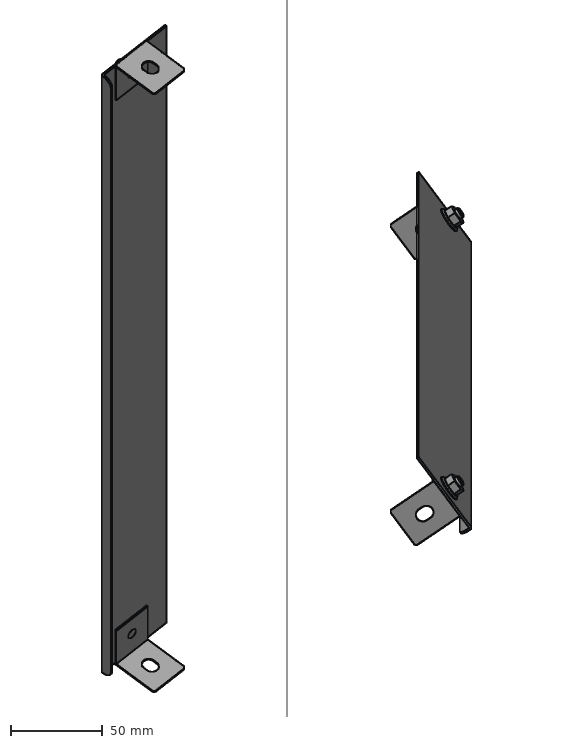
import cadquery as cq
import math

total_height = 502.0
total_depth = 39.0

panel_width = 50.0
panel_thickness = 1.2
flange_depth = 7.5
flange_corner_radius = 5.5
bend_radius = 0.9

bracket_width = 24.5
bracket_thickness = 1.0
bracket_leg = 28.5
tab_corner_radius = 1.5
slot_length = 10.0
slot_width = 7.5
slot_x = 16.0

fastener_y = -3.0
fastener_inset = 16.0
stud_diameter = 6.0
stud_tip_diameter = 5.0
stud_protrusion = 2.25
nut_height = 6.0
nut_across_flats = 10.0
nut_flange_diameter = 14.5
nut_flange_face_diameter = 12.5
nut_flange_height = 1.5
nut_bevel_height = 1.0

stud_reach = nut_height + stud_protrusion
tab_end = total_depth - stud_reach
bracket_back = panel_thickness + bracket_thickness
nut_bevel_width = (nut_flange_diameter - nut_flange_face_diameter) / 2
nut_across_corners = nut_across_flats / math.cos(math.pi / 6)
middle_height = total_height / 2
fastener_heights = (fastener_inset, total_height - fastener_inset)


def mirrored_to_top(body):
    """The same body at the upper end of the part."""
    return body.mirror("XY", (0, 0, middle_height))


def along_x(x, z):
    """A plane across the fastener axis at X = x, facing +X."""
    return cq.Workplane("YZ", origin=(x, fastener_y, z))


def make_panel():
    height = total_height - 2 * bracket_thickness
    sheet = cq.Workplane("XY").box(panel_thickness, panel_width, height, centered=(False, True, False))
    flange = (
        cq.Workplane("XY")
        .box(flange_depth, panel_thickness, height, centered=(False, False, False))
        .edges(">X and |Y")
        .fillet(flange_corner_radius)
        .translate((0, -panel_width / 2, 0))
    )
    panel = sheet.union(flange).edges("<X and <Y").fillet(bend_radius)
    panel = panel.translate((0, 0, bracket_thickness))
    for z in fastener_heights:
        panel = panel.cut(along_x(0, z).circle(stud_diameter / 2).extrude(panel_thickness))
    return panel


def make_lower_bracket():
    tab_length = tab_end - panel_thickness
    leg = cq.Workplane("XY").box(
        bracket_thickness, bracket_width, bracket_leg, centered=(False, True, False)
    )
    tab = cq.Workplane("XY").box(
        tab_length, bracket_width, bracket_thickness, centered=(False, True, False)
    )
    tab = tab.edges(">X and |Z").fillet(tab_corner_radius)
    bracket = leg.union(tab).translate((panel_thickness, fastener_y, 0))
    slot = (
        cq.Workplane("XY", origin=(slot_x, fastener_y, 0))
        .slot2D(slot_length, slot_width)
        .extrude(bracket_thickness)
    )
    stud_hole = (
        along_x(panel_thickness, fastener_inset).circle(stud_diameter / 2).extrude(bracket_thickness)
    )
    return bracket.cut(slot).cut(stud_hole)


def make_stud(z):
    """A plain stud, flush with the back of the bracket leg, with a chamfered tip."""
    tip_chamfer = (stud_diameter - stud_tip_diameter) / 2
    return (
        along_x(-stud_reach, z)
        .circle(stud_diameter / 2)
        .extrude(stud_reach + bracket_back)
        .faces("<X")
        .chamfer(tip_chamfer)
    )


def make_nut(z):
    """A hexagon nut with corners along Y and a round, bevelled flange against the panel."""
    hexagon = along_x(-nut_height, z).polygon(6, nut_across_corners).extrude(nut_height)
    flange = (
        along_x(-nut_flange_height, z)
        .circle(nut_flange_diameter / 2)
        .extrude(nut_flange_height)
        .faces("<X")
        .chamfer(nut_bevel_height, nut_bevel_width)
    )
    bore = along_x(-nut_height, z).circle(stud_diameter / 2).extrude(nut_height)
    return hexagon.union(flange).cut(bore)


panel = make_panel()
lower_bracket = make_lower_bracket()
brackets = [lower_bracket, mirrored_to_top(lower_bracket)]
studs = [make_stud(z) for z in fastener_heights]
nuts = [make_nut(z) for z in fastener_heights]

result = cq.Compound.makeCompound([body.val() for body in [panel, *brackets, *studs, *nuts]])